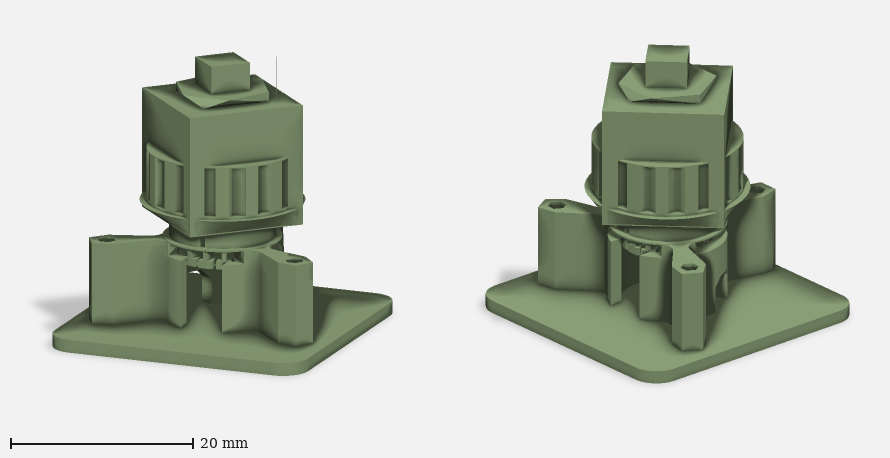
import cadquery as cq
import math

plate_side = 30.0
plate_corner_radius = 3.0
plate_top = 1.45
base_top = 9.15

wall_outer_radius = 6.58
wall_inner_radius = 5.15
front_gap_width = 4.83

window_width = 4.0
window_top = 5.45
window_chamfer = 1.02
window_angles = (30, 150)

ear_angles = (90, 210, 330)
round_foot_angle = 90
ear_hole_pitch_radius = 12.85
ear_tip_center_radius = 13.0
ear_tip_radius = 2.0
ear_tip_sides = 5
ear_waist_position = 8.1
ear_waist_half_width = 0.92
ear_root_half_width = 1.9
ear_inner_end = 4.45
foot_sides = 10
base_hole_diagonal = 2.0

lid_ear_top = 10.75
lid_hole_diameter = 2.1
lid_hole_sides = 6
lid_hole_turn = 90
washer_bottom = 10.65
sleeve_seat = 10.83
lid_bore_top_radius = 4.83

cage_radius = 5.08
cage_core_radius = 3.5
cage_bottom = 8.25
cage_disc_bottom = 10.25
cage_top = 10.42
cage_bar_width = 0.55
cage_bar_count = 15
cage_first_bar_angle = 270
cage_slot_width = 0.38
cage_shaft_diameter = 2.8

block_diagonal = 19.0
sleeve_bottom = 12.95
sleeve_top = 24.85
neck_radius = 5.85
neck_slot_width = 0.65
neck_slot_depth = 0.65
neck_slot_angles = (30, 150, 270)
flange_diameter = 18.2
flange_bottom = 13.1
flange_top = 14.87
flange_corner_offset = 0.45

wheel_diameter = 16.7
wheel_rim_top = 15.12
wheel_cap_bottom = 20.68
wheel_top = 20.8
wheel_notch_count = 16
wheel_notch_size = 1.6
wheel_notch_corner_radius = 0.45

cap_top = 26.55
boss_top = 27.65
boss_diameter = 10.95
post_diagonal = 6.45
post_seam = 28.6
post_top = 30.75
pin_diameter = 0.003
pin_offset = 6.42
pin_top = 31.77


def cylinder(radius, bottom, top):
    return cq.Workplane("XY").workplane(offset=bottom).circle(radius).extrude(top - bottom)


def square_prism(diagonal, bottom, top):
    """Square prism with its corners on the X and Y axes."""
    return cq.Workplane("XY").workplane(offset=bottom).polygon(4, diagonal).extrude(top - bottom)


def box(size_x, size_y, bottom, top):
    blank = cq.Workplane("XY").workplane(offset=bottom).rect(size_x, size_y)
    return blank.extrude(top - bottom)


def turned(body, angle):
    """The body turned about the Z axis."""
    return body.rotate((0, 0, 0), (0, 0, 1), angle)


def polygon_points(sides, radius, z, center_x=0.0, first_angle=0.0):
    angles = [math.radians(first_angle + 360 * i / sides) for i in range(sides)]
    return [(center_x + radius * math.cos(a), radius * math.sin(a), z) for a in angles]


def faceted_hull(points):
    """Convex solid with flat faces spanned over the given points."""
    tolerance = 1.01e-07
    vectors = [cq.Vector(*point) for point in points]
    count = len(vectors)
    found = set()
    faces = []
    for i in range(count):
        for j in range(i + 1, count):
            for k in range(j + 1, count):
                normal = (vectors[j] - vectors[i]).cross(vectors[k] - vectors[i])
                if normal.Length < tolerance:
                    continue
                normal = normal.normalized()
                heights = [normal.dot(v - vectors[i]) for v in vectors]
                if max(heights) > tolerance and min(heights) < -tolerance:
                    continue
                members = frozenset(n for n in range(count) if abs(heights[n]) < tolerance)
                if members not in found:
                    found.add(members)
                    faces.append(flat_face([vectors[n] for n in members], normal))
    return cq.Workplane(obj=cq.Solid.makeSolid(cq.Shell.makeShell(faces)))


def flat_face(corners, normal):
    """Convex face through coplanar corners, taken in order round their middle."""
    middle = sum(corners, cq.Vector()) * (1 / len(corners))
    axis_u = (corners[0] - middle).normalized()
    axis_v = normal.cross(axis_u)
    corners.sort(key=lambda p: math.atan2((p - middle).dot(axis_v), (p - middle).dot(axis_u)))
    return cq.Face.makeFromWires(cq.Wire.makePolygon(corners, close=True))


def make_plate():
    return box(plate_side, plate_side, 0, plate_top).edges("|Z").fillet(plate_corner_radius)


def ear_tip_points(z):
    """Corners of the five-sided ear tip, with one flat facing outward along +X."""
    flat_angle = 180 / ear_tip_sides
    return polygon_points(ear_tip_sides, ear_tip_radius, z, ear_tip_center_radius, flat_angle)


def ear_prism(bottom, top):
    """Ear along +X: five-sided tip, tapered sides, and concave fillets into the ring wall."""
    tip_points = ear_tip_points(bottom)
    tip_x, tip_y, _ = tip_points[0]
    shoulder_x, shoulder_y, _ = tip_points[1]
    root_x = math.sqrt(wall_outer_radius**2 - ear_root_half_width**2)
    half = (
        cq.Workplane("XY").workplane(offset=bottom)
        .moveTo(ear_inner_end, 0)
        .lineTo(tip_x, 0)
        .lineTo(tip_x, tip_y)
        .lineTo(shoulder_x, shoulder_y)
        .lineTo(ear_waist_position, ear_waist_half_width)
        .tangentArcPoint((root_x, ear_root_half_width), relative=False)
        .lineTo(ear_inner_end, ear_root_half_width * ear_inner_end / root_x)
        .close().extrude(top - bottom)
    )
    return half.union(half.mirror("XZ"))


def make_round_foot():
    """Pillar end that spreads from the five-sided tip to a rounder foot."""
    tip = ear_tip_points(base_top)
    foot = polygon_points(foot_sides, ear_tip_radius, plate_top, ear_tip_center_radius)
    return turned(faceted_hull(tip + foot), round_foot_angle)


def window_cutter():
    """Radial passage along +X with a chamfered top."""
    passage = box(wall_outer_radius, window_width, plate_top, window_top)
    passage = passage.edges("|X and >Z").chamfer(window_chamfer)
    return passage.translate((wall_outer_radius / 2, 0, 0))


def make_base():
    walls = cylinder(wall_outer_radius, plate_top, base_top)
    for angle in ear_angles:
        walls = walls.union(turned(ear_prism(plate_top, base_top), angle))
    walls = walls.union(make_round_foot())
    walls = walls.cut(cylinder(wall_inner_radius, plate_top, base_top))
    front_gap = box(front_gap_width, plate_side / 2, plate_top, base_top)
    walls = walls.cut(front_gap.translate((0, -plate_side / 4, 0)))
    for angle in window_angles:
        walls = walls.cut(turned(window_cutter(), angle))
    base = make_plate().union(walls)
    for angle in ear_angles:
        x = ear_hole_pitch_radius * math.cos(math.radians(angle))
        y = ear_hole_pitch_radius * math.sin(math.radians(angle))
        base = base.cut(square_prism(base_hole_diagonal, 0, base_top).translate((x, y, 0)))
    return base


def make_lid():
    ear = ear_prism(base_top, lid_ear_top)
    bore = cq.Solid.makeCone(
        wall_outer_radius, lid_bore_top_radius, washer_bottom - base_top, cq.Vector(0, 0, base_top)
    )
    hole = (
        cq.Workplane("XY").workplane(offset=base_top)
        .center(ear_hole_pitch_radius, 0)
        .transformed(rotate=(0, 0, lid_hole_turn))
        .polygon(lid_hole_sides, lid_hole_diameter).extrude(lid_ear_top - base_top)
    )
    ear = ear.cut(cq.Workplane(obj=bore)).cut(hole)
    lid = cylinder(wall_outer_radius, washer_bottom, sleeve_seat)
    for angle in ear_angles:
        lid = lid.union(turned(ear, angle))
    return lid.cut(cylinder(cage_shaft_diameter / 2, washer_bottom, sleeve_seat))


def make_cage():
    cage = cylinder(cage_radius, cage_bottom, base_top)
    pitch = 360 / cage_bar_count
    ring_depth = cage_radius - cage_core_radius
    slot = box(ring_depth * 2, cage_slot_width, cage_bottom, base_top).translate((cage_radius, 0, 0))
    bar = box(ring_depth, cage_bar_width, base_top, cage_disc_bottom)
    bar = bar.translate((cage_radius - ring_depth / 2, 0, 0))
    for i in range(cage_bar_count):
        cage = cage.cut(turned(slot, cage_first_bar_angle + pitch * (i + 0.5)))
    cage = cage.union(cylinder(cage_core_radius, base_top, cage_disc_bottom))
    cage = cage.union(cylinder(cage_radius, cage_disc_bottom, cage_top))
    for i in range(cage_bar_count):
        cage = cage.union(turned(bar, cage_first_bar_angle + pitch * i))
    return cage.union(cylinder(cage_shaft_diameter / 2, cage_top, sleeve_seat))


def make_flange():
    """Ring that is round on top and blends down into the flat sides of the sleeve."""
    radius = flange_diameter / 2
    corner_angle = math.degrees(math.asin(flange_corner_offset / radius))
    side_sum = block_diagonal / 2

    def on_circle(angle):
        a = math.radians(angle)
        return cq.Vector(radius * math.cos(a), radius * math.sin(a), flange_top)

    def arc_between(first_angle, last_angle):
        middle = on_circle((first_angle + last_angle) / 2)
        return cq.Edge.makeThreePointArc(on_circle(first_angle), middle, on_circle(last_angle))

    def on_side(quarter, x):
        """Point on the sleeve side of the given quarter turn."""
        a = math.radians(90 * quarter)
        y = side_sum - x
        turned_x = x * math.cos(a) - y * math.sin(a)
        turned_y = x * math.sin(a) + y * math.cos(a)
        return cq.Vector(turned_x, turned_y, flange_bottom)

    top_edges = []
    bottom_edges = []
    for quarter in range(4):
        start = 90 * quarter
        end = start + 90
        top_edges.append(arc_between(start + corner_angle, end - corner_angle))
        top_edges.append(arc_between(end - corner_angle, end + corner_angle))
        first = on_side(quarter, side_sum - flange_corner_offset)
        second = on_side(quarter, flange_corner_offset)
        third = on_side(quarter + 1, side_sum - flange_corner_offset)
        bottom_edges.append(cq.Edge.makeLine(first, second))
        bottom_edges.append(cq.Edge.makeLine(second, third))
    wires = [cq.Wire.assembleEdges(bottom_edges), cq.Wire.assembleEdges(top_edges)]
    return cq.Workplane(obj=cq.Solid.makeLoft(wires, True))


def make_sleeve():
    sleeve = square_prism(block_diagonal, sleeve_bottom, sleeve_top).union(make_flange())
    sleeve = sleeve.cut(cylinder(wheel_diameter / 2, flange_top, wheel_top))
    neck = cylinder(neck_radius, sleeve_seat, sleeve_bottom)
    slot = box(neck_slot_depth * 2, neck_slot_width, sleeve_seat, sleeve_bottom)
    for angle in neck_slot_angles:
        neck = neck.cut(turned(slot.translate((neck_radius, 0, 0)), angle))
    return sleeve.union(neck)


def make_wheel():
    """Wheel notched between a plain rim and a plain top disc; every notch is square to X and Y."""
    radius = wheel_diameter / 2
    wheel = cylinder(radius, flange_top, wheel_top)
    notch = box(wheel_notch_size, wheel_notch_size, wheel_rim_top, wheel_cap_bottom)
    notch = notch.edges("|Z").fillet(wheel_notch_corner_radius)
    pitch = 2 * math.pi / wheel_notch_count
    for i in range(wheel_notch_count):
        angle = pitch * (i + 0.5)
        wheel = wheel.cut(notch.translate((radius * math.cos(angle), radius * math.sin(angle), 0)))
    return wheel


def make_cap():
    cap = square_prism(block_diagonal, sleeve_top, cap_top)
    square = polygon_points(4, boss_diameter / 2, cap_top)
    hexagon = polygon_points(6, boss_diameter / 2, boss_top)
    cap = cap.union(faceted_hull(square + hexagon))
    return cap.union(square_prism(post_diagonal, boss_top, post_seam))


def make_tip():
    return square_prism(post_diagonal, post_seam, post_top)


def make_pin():
    return cylinder(pin_diameter / 2, cap_top, pin_top).translate((pin_offset, 0, 0))


base = make_base()
lid = make_lid()
cage = make_cage()
sleeve = make_sleeve()
wheel = make_wheel()
cap = make_cap()
tip = make_tip()
pin = make_pin()

bodies = [base, lid, cage, sleeve, wheel, cap, tip, pin]
result = cq.Compound.makeCompound([body.solids().val() for body in bodies])